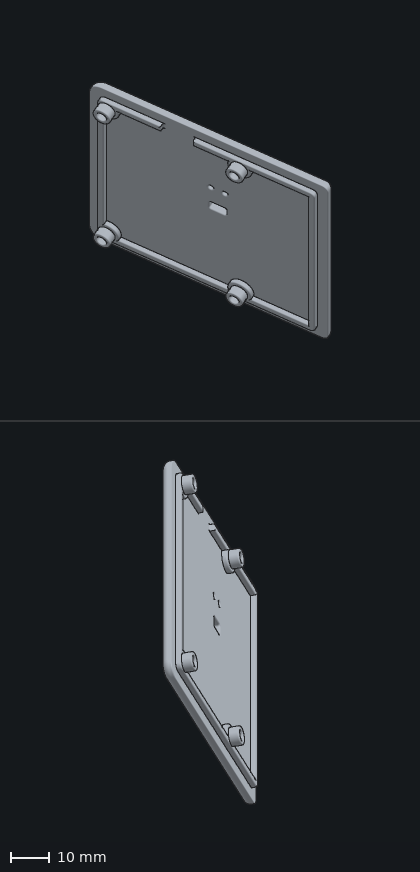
import cadquery as cq
import math

WIDTH = 71.0
HEIGHT = 66.0
PLATE_THICKNESS = 3.0
LEFT_CORNER_RADIUS = 4.0
RIGHT_CORNER_RADIUS = 2.0
CORNER_BLEND_MARGIN = 0.035
BACK_EDGE_RADIUS = RIGHT_CORNER_RADIUS - CORNER_BLEND_MARGIN
FRONT_EDGE_RADIUS = 0.3

RIM_INSET = 3.2
RIM_WIDTH = 2.0
RIM_HEIGHT = 1.5
RIM_EDGE_RADIUS = 0.4
RIM_FOOT_RADIUS = 0.5
RIM_LEFT_RADIUS = 1.85
RIM_RIGHT_RADIUS = 1.5
GAP_START_X = -13.5
GAP_END_X = -3.9

BOSS_REACH = 7.3
BOSS_RADIUS = 2.55
BOSS_EDGE_RADIUS = 0.35
BOSS_HOLE_RADIUS = 1.4
COLLAR_RADIUS = 3.55
BOSS_LEFT_X = -29.5
BOSS_RIGHT_X = 9.9
BOSS_Z = 26.9

WINDOW_X = 2.7
WINDOW_Z = 3.05
WINDOW_WIDTH = 5.05
WINDOW_HEIGHT = 3.0
WINDOW_CORNER_RADIUS = 0.6
INDICATOR_Z = 10.8
INDICATOR_SPACING = 4.2
INDICATOR_RADIUS = 0.8
OPENING_EDGE_RADIUS = 0.5

BOSS_CENTERS = [(x, z) for x in (BOSS_LEFT_X, BOSS_RIGHT_X) for z in (-BOSS_Z, BOSS_Z)]
INDICATOR_CENTERS = [(WINDOW_X + side * INDICATOR_SPACING / 2, INDICATOR_Z) for side in (-1, 1)]


def front_plane(depth):
    """XZ sketch plane at y = -depth; positive extrusion runs towards -Y."""
    return cq.Workplane("XZ", origin=(0, -depth, 0))


def rounded_block(inset, left_radius, right_radius, depth, height):
    """Block inset from the plate outline, with separate left and right corner radii."""
    block = front_plane(depth).rect(WIDTH - 2 * inset, HEIGHT - 2 * inset).extrude(height)
    block = block.edges("|Y and <X").fillet(left_radius)
    return block.edges("|Y and >X").fillet(right_radius)


def round_holes(centers, radius, depth):
    """Round cutters running from the back face to the given depth."""
    return front_plane(0).pushPoints(centers).circle(radius).extrude(depth)


def make_plate():
    """Plate with rounded outer edges and openings rounded over at the front face."""
    plate = rounded_block(0, LEFT_CORNER_RADIUS, RIGHT_CORNER_RADIUS, 0, PLATE_THICKNESS)
    plate = plate.faces(">Y").edges().fillet(BACK_EDGE_RADIUS)
    plate = plate.faces("<Y").edges().fillet(FRONT_EDGE_RADIUS)

    window = front_plane(0).center(WINDOW_X, WINDOW_Z).rect(WINDOW_WIDTH, WINDOW_HEIGHT)
    window = window.extrude(PLATE_THICKNESS).edges("|Y").fillet(WINDOW_CORNER_RADIUS)
    indicator_holes = round_holes(INDICATOR_CENTERS, INDICATOR_RADIUS, PLATE_THICKNESS)
    plate = plate.cut(window).cut(indicator_holes)
    opening_zone = cq.selectors.BoxSelector(
        (WINDOW_X - WINDOW_WIDTH, -BOSS_REACH, WINDOW_Z - WINDOW_HEIGHT),
        (WINDOW_X + WINDOW_WIDTH, 0, INDICATOR_Z + INDICATOR_SPACING),
    )
    return plate.faces("<Y").edges(opening_zone).fillet(OPENING_EDGE_RADIUS)


def make_rim():
    """Rounded rim with boss collars, all kept inside the rim's outer outline."""
    outline = rounded_block(RIM_INSET, RIM_LEFT_RADIUS, RIM_RIGHT_RADIUS, PLATE_THICKNESS, RIM_HEIGHT)
    inner_inset = RIM_INSET + RIM_WIDTH
    inner_width = WIDTH - 2 * inner_inset
    inner_height = HEIGHT - 2 * inner_inset
    base = front_plane(PLATE_THICKNESS)
    rim = outline.cut(base.rect(inner_width, inner_height).extrude(RIM_HEIGHT))

    gap = (
        base.center((GAP_START_X + GAP_END_X) / 2, (inner_height + RIM_WIDTH) / 2)
        .rect(GAP_END_X - GAP_START_X, 2 * RIM_WIDTH)
        .extrude(RIM_HEIGHT)
    )
    collars = base.pushPoints(BOSS_CENTERS).circle(COLLAR_RADIUS).extrude(RIM_HEIGHT)
    rim = rim.cut(gap).union(collars.intersect(outline))
    return rim.faces("<Y").edges().fillet(RIM_EDGE_RADIUS)


def make_rim_foot(wall_x, side):
    """Concave fillet along the foot of a rim end wall, flaring into the gap on the given side."""
    foot_y = -PLATE_THICKNESS
    arc_shift = RIM_FOOT_RADIUS * (1 - math.sqrt(0.5))
    return (
        cq.Workplane("XY", origin=(0, 0, HEIGHT / 2 - RIM_INSET - RIM_WIDTH))
        .moveTo(wall_x, foot_y)
        .lineTo(wall_x + side * RIM_FOOT_RADIUS, foot_y)
        .threePointArc(
            (wall_x + side * arc_shift, foot_y - arc_shift),
            (wall_x, foot_y - RIM_FOOT_RADIUS),
        )
        .close()
        .extrude(RIM_WIDTH)
    )


def make_bosses():
    boss_length = BOSS_REACH - PLATE_THICKNESS
    return front_plane(PLATE_THICKNESS).pushPoints(BOSS_CENTERS).circle(BOSS_RADIUS).extrude(boss_length)


result = (
    make_plate()
    .union(make_rim())
    .union(make_rim_foot(GAP_START_X, 1))
    .union(make_rim_foot(GAP_END_X, -1))
    .union(make_bosses())
    .cut(round_holes(BOSS_CENTERS, BOSS_HOLE_RADIUS, BOSS_REACH))
)
result = result.faces("<Y").edges().fillet(BOSS_EDGE_RADIUS)